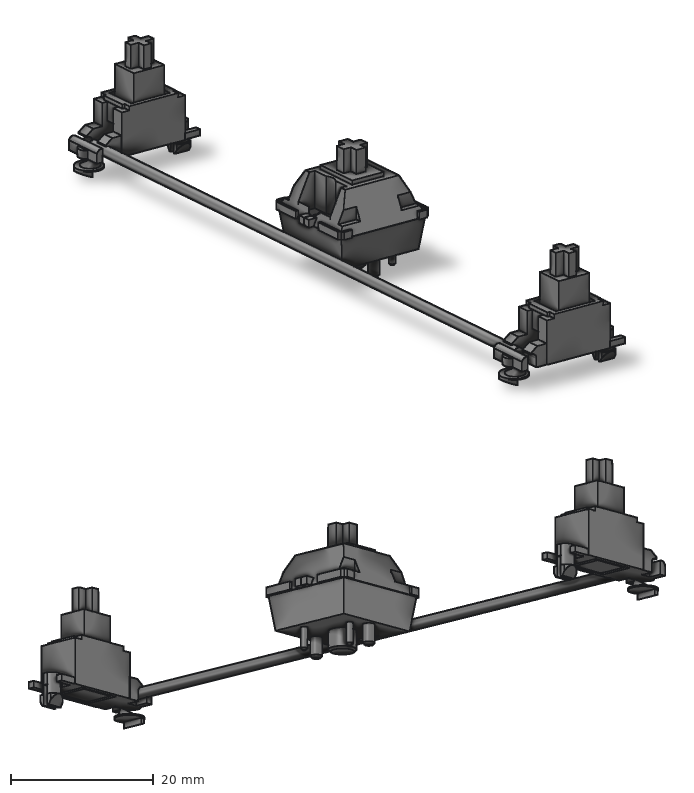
import cadquery as cq


stem_top = 15.2
shoulder_z = 11.6
cutter = 21.3

wire_dia = 1.6
wire_y = -8.1
wire_z = 1.4
stab_x = 50.0

seam_z = 5.0
lower_bottom = 13.3
lower_top = 14.7
post_dia = 3.9
side_peg_dia = 1.7
side_peg_x = 5.1
peg_length = 3.0
peg_chamfer = 0.3
pin_dia = 1.0
pin_length = 3.3
pin_points = [(-3.8, 2.6), (2.6, 5.1)]

upper_top_z = 11.0
upper_base = 15.1
upper_top = 9.4
lip_size = 15.8
lip_inner = 14.9
lip_height = 1.2
lip_chamfer = 0.6
lip_gap_x = 5.3
lip_gap_y = 11.7
tab_tip_y = 8.4
tab_width = 1.1
tab_gap = 0.1
notch_x = 5.9
notch_y = (3.6, 6.9)
notch_floor_z = 6.6

pocket_width = 7.5
pocket_y = (-6.6, -3.7)
pocket_floor_z = 5.3
lamp_dia = 3.7
lamp_y = -5.2
lead_spacing = 2.6

switch_stem = (7.5, 5.5)
switch_cross = (4.2, 4.2)
switch_arm = 1.6

stab_width = 6.6
body_half_y = 5.5
shelf_z = 6.7
deck_z = 7.4
deck_half_y = 4.3
deck_bump = (4.4, 9.3)
opening = (5.1, 6.8)
channel_width = 2.6
channel_back_y = -4.7
window_top_z = 3.8
window_floor_z = 1.0
wing_z = 3.2
wing_slope_y = -7.1
wing_tip = (-8.3, 2.3)
wing_inset = 0.1
wing_half_x = stab_width / 2 - wing_inset
arm_height = 0.5
bar_back_y = wire_y - wire_dia / 2
bar_front_y = -9.9
bar_height = 2.0
bar_edge_z = 1.5
bar_crown = (-9.6, 1.9)
boss_y = -9.3
boss_height = 1.3

foot_y = -8.8
foot_radius = 2.1
foot_top_z = -1.5
foot_disc = 0.2
neck_shift_x = 1.3
neck_y = -8.6
neck_top_radius = 0.2
neck_base_radius = 1.5
toe_y = (-11.1, -9.5)
toe_z = (-2.0, -2.7)
toe_radius = 1.7

snap_y = 6.9
snap_top_z = 1.7
snap_post_dia = 2.6
snap_slot = 0.6
snap_bridge = 1.5
barb_radius = 1.6
barb_tip_half = 0.6
barb_depth = 2.5
barb_top_z = -1.4
barb_bottom_z = -3.0
lug_width = 1.1
lug_end_y = 8.2
lug_height = 1.0

stab_stem = (4.5, 5.3)
stab_cross = (3.7, 4.0)
stab_arm = 1.3


def block(x_range, y_range, z_range):
    """Box between the given limits along each axis."""
    size = [high - low for low, high in (x_range, y_range, z_range)]
    return (
        cq.Workplane("XY")
        .box(*size, centered=False)
        .translate((x_range[0], y_range[0], z_range[0]))
    )


def centered_block(width, depth, low, high):
    return block((-width / 2, width / 2), (-depth / 2, depth / 2), (low, high))


def cylinder(x, y, diameter, low, high):
    return cq.Workplane("XY", origin=(x, y, low)).circle(diameter / 2).extrude(high - low)


def frustum(low_side, high_side, low, high):
    """Square block that tapers from one side length to another."""
    return (
        cq.Workplane("XY", origin=(0, 0, low))
        .rect(low_side, low_side)
        .workplane(offset=high - low)
        .rect(high_side, high_side)
        .loft()
    )


def make_stem(block_size, low, cross_size, arm_width):
    """Stem block with a cross-shaped post on top."""
    stem = centered_block(*block_size, low, shoulder_z)
    stem = stem.union(centered_block(cross_size[0], arm_width, shoulder_z, stem_top))
    return stem.union(centered_block(arm_width, cross_size[1], shoulder_z, stem_top))


def lead_holes():
    """Two holes for the lamp leads, through both switch housings."""
    return (
        cq.Workplane("XY")
        .pushPoints([(-lead_spacing / 2, lamp_y), (lead_spacing / 2, lamp_y)])
        .circle(pin_dia / 2)
        .extrude(cutter)
    )


def make_lower_housing():
    lower = frustum(lower_bottom, lower_top, 0, seam_z)
    pegs = [(0, post_dia), (-side_peg_x, side_peg_dia), (side_peg_x, side_peg_dia)]
    for x, diameter in pegs:
        peg = cylinder(x, 0, diameter, -peg_length, 0)
        lower = lower.union(peg.faces("<Z").chamfer(peg_chamfer))
    for x, y in pin_points:
        pin = cylinder(x, y, pin_dia, -pin_length, 0)
        lower = lower.union(pin.faces("<Z").chamfer(peg_chamfer))
    return lower.cut(lead_holes())


def corner_lips():
    """Upright lip around each corner of the upper housing, open along the four sides."""
    top = seam_z + lip_height
    lips = centered_block(lip_size, lip_size, seam_z, top).edges("|Z").chamfer(lip_chamfer)
    lips = lips.cut(centered_block(lip_inner, lip_inner, seam_z, top))
    lips = lips.cut(centered_block(lip_gap_x, cutter, seam_z, top))
    return lips.cut(centered_block(cutter, lip_gap_y, seam_z, top))


def lamp_pocket():
    half = pocket_width / 2
    pocket = block((-half, half), pocket_y, (pocket_floor_z, cutter))
    return pocket.union(cylinder(0, lamp_y, lamp_dia, pocket_floor_z, cutter))


def make_upper_housing():
    upper = frustum(upper_base, upper_top, seam_z, upper_top_z)
    for side in (-1, 1):
        for end in (-1, 1):
            x_range = sorted((side * notch_x, side * cutter))
            y_range = sorted((end * notch_y[0], end * notch_y[1]))
            upper = upper.cut(block(x_range, y_range, (notch_floor_z, cutter)))
    upper = upper.union(corner_lips())
    for side in (-1, 1):
        x_range = sorted((side * tab_gap / 2, side * (tab_gap / 2 + tab_width)))
        upper = upper.union(block(x_range, (-tab_tip_y, tab_tip_y), (seam_z, seam_z + lip_height)))
    upper = upper.cut(lamp_pocket())
    upper = upper.cut(lead_holes())
    return upper.cut(centered_block(*switch_stem, seam_z, upper_top_z))


def stab_body():
    """Main block with its raised deck, stem opening and stepped front channel."""
    body = centered_block(stab_width, 2 * body_half_y, 0, shelf_z)
    body = body.union(centered_block(stab_width, 2 * deck_half_y, shelf_z, deck_z))
    body = body.union(centered_block(*deck_bump, shelf_z, deck_z))
    half = channel_width / 2
    body = body.cut(block((-half, half), (-body_half_y, channel_back_y), (window_floor_z, shelf_z)))
    body = body.cut(block((-half, half), (-body_half_y, 0), (window_floor_z, window_top_z)))
    return body.cut(centered_block(*opening, 0, deck_z))


def wire_holder():
    """Two wings hooked over the wire, and the front bar that holds the wire in."""
    back_of_wire = wire_y + wire_dia / 2
    profile = [
        (-body_half_y, 0),
        (-body_half_y, wing_z),
        (wing_slope_y, wing_z),
        wing_tip,
        (wing_tip[0], wire_z),
        (back_of_wire, wire_z),
        (back_of_wire, 0),
    ]
    half = channel_width / 2
    holder = cq.Workplane("YZ").polyline(profile).close().extrude(wing_half_x, both=True)
    holder = holder.cut(block((-half, half), (-cutter, -body_half_y), (0, cutter)))
    groove = cq.Workplane("YZ").center(wire_y, wire_z).circle(wire_dia / 2)
    holder = holder.cut(groove.extrude(stab_width, both=True))
    holder = holder.union(block((-half, half), (bar_back_y, -body_half_y), (0, arm_height)))

    bar = (
        cq.Workplane("YZ")
        .moveTo(bar_back_y, bar_height)
        .threePointArc(bar_crown, (bar_front_y, bar_edge_z))
        .lineTo(bar_front_y, 0)
        .lineTo(bar_back_y, 0)
        .close()
        .extrude(stab_width / 2, both=True)
    )
    boss = cylinder(0, boss_y, channel_width, 0, boss_height)
    boss = boss.cut(block((-half, half), (bar_back_y, 0), (arm_height, boss_height)))
    return holder.union(bar).union(boss)


def front_foot():
    """Leaning conical neck on a thin disc, with a toe below the front edge."""
    neck = (
        cq.Workplane("XY", origin=(0, neck_y, foot_top_z))
        .circle(neck_base_radius)
        .workplane(offset=-foot_top_z)
        .center(neck_shift_x, 0)
        .circle(neck_top_radius)
        .loft()
    )
    disc = cylinder(0, foot_y, 2 * foot_radius, foot_top_z - foot_disc, foot_top_z)
    toe_profile = [
        (toe_y[0], foot_top_z),
        (toe_y[1], foot_top_z),
        (toe_y[1], toe_z[1]),
        (toe_y[0], toe_z[0]),
    ]
    toe = cq.Workplane("YZ").polyline(toe_profile).close().extrude(toe_radius, both=True)
    toe = toe.intersect(cylinder(0, toe_y[0] + toe_radius, 2 * toe_radius, toe_z[1], foot_top_z))
    return neck.union(disc).union(toe)


def rear_snap():
    """Split peg with a tapered barb, bridged to the body between two lugs."""
    snap = cylinder(0, snap_y, snap_post_dia, barb_top_z, snap_top_z)
    barb_profile = [
        (-barb_tip_half, barb_bottom_z),
        (barb_tip_half, barb_bottom_z),
        (barb_radius, barb_top_z),
        (-barb_radius, barb_top_z),
    ]
    barb = cq.Workplane("XZ").polyline(barb_profile).close().extrude(barb_depth / 2, both=True)
    barb = barb.translate((0, snap_y, 0))
    barb = barb.intersect(cylinder(0, snap_y, 2 * barb_radius, barb_bottom_z, barb_top_z))
    y_range = (snap_y - barb_depth / 2, snap_y + barb_depth / 2)
    snap = snap.union(barb).intersect(block((-cutter, cutter), y_range, (barb_bottom_z, snap_top_z)))
    slot = block((-snap_slot / 2, snap_slot / 2), y_range, (barb_bottom_z, 0))
    bridge = block((-snap_bridge / 2, snap_bridge / 2), (body_half_y, snap_y), (0, snap_top_z))
    snap = snap.cut(slot).union(bridge)
    for side in (-1, 1):
        x_range = sorted((side * (stab_width / 2 - lug_width), side * wing_half_x))
        snap = snap.union(block(x_range, (body_half_y, lug_end_y), (0, lug_height)))
    return snap


def make_stab_housing():
    return stab_body().union(wire_holder()).union(front_foot()).union(rear_snap())


def make_wire():
    start = cq.Workplane("YZ", origin=(-stab_x, wire_y, wire_z))
    return start.circle(wire_dia / 2).extrude(2 * stab_x)


lower_housing = make_lower_housing()
upper_housing = make_upper_housing()
switch_stem_body = make_stem(switch_stem, seam_z, switch_cross, switch_arm)
wire = make_wire()

stabilizers = []
for x in (-stab_x, stab_x):
    stab_housing = make_stab_housing().translate((x, 0, 0))
    stab_stem_body = make_stem(stab_stem, 0, stab_cross, stab_arm).translate((x, 0, 0))
    stabilizers += [stab_housing.val(), stab_stem_body.val()]

result = cq.Compound.makeCompound(
    [lower_housing.val(), upper_housing.val(), switch_stem_body.val(), wire.val(), *stabilizers]
)